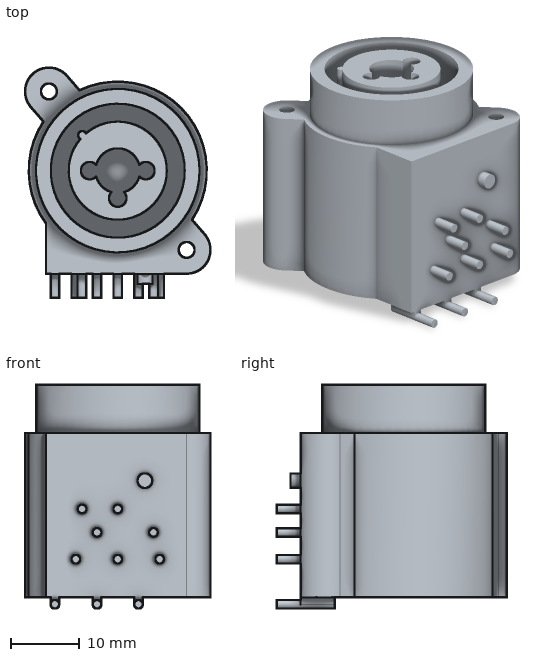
import cadquery as cq
import math

body_height = 23.92
body_radius = 12.95
front_face_y = -15.0
block_left_x = -10.45

ear_radius = 3.5
ear_hole_radius = 1.15
ear_x = 10.0
ear_y = front_face_y + ear_radius

collar_radius = 11.9
collar_height = 7.05
socket_radius = 9.75
socket_depth = 15.08
core_radius = 7.15
key_offset = 5.15
key_radius = 0.6
bore_radius = 3.25
lobe_offset = 4.1
lower_lobe_offset = 4.0
lobe_radius = 1.27
top_z = body_height + collar_height

pin_radius = 0.65
pin_length = 3.5
pin_end_y = front_face_y - pin_length
upper_row_z = 12.85
middle_row_z = 9.45
lower_row_z = 5.55
outer_pin_x = 6.1
inner_pin_x = 3.0
side_pin_x = 5.2
front_pins = [
    (-side_pin_x, upper_row_z),
    (0, upper_row_z),
    (-inner_pin_x, middle_row_z),
    (side_pin_x, middle_row_z),
    (-outer_pin_x, lower_row_z),
    (0, lower_row_z),
    (outer_pin_x, lower_row_z),
]

peg_x = 3.95
peg_z = 17.0
peg_radius = 1.07
peg_length = 1.47

bottom_pin_xs = (-9.15, -inner_pin_x, inner_pin_x)
bottom_pin_z = -1.0
bottom_pin_start_y = -10.0


def post(x, y, radius, height, base_z=0):
    """Vertical cylinder standing on base_z."""
    return cq.Workplane("XY", origin=(x, y, base_z)).circle(radius).extrude(height)


def front_rod(x, z, radius, start_y, end_y):
    """Cylinder running from start_y toward the front, ending at end_y."""
    return cq.Workplane("XZ", origin=(x, start_y, z)).circle(radius).extrude(start_y - end_y)


def make_body():
    block = (
        cq.Workplane("XY")
        .moveTo(block_left_x, 0)
        .lineTo(block_left_x, front_face_y)
        .lineTo(ear_x, front_face_y)
        .lineTo(ear_x, ear_y)
        .lineTo(0, 0)
        .close()
        .extrude(body_height)
    )
    ear_angle = math.degrees(math.atan2(ear_y, ear_x))
    ear_band_length = 2 * (math.hypot(ear_x, ear_y) + ear_radius)
    ears = cq.Workplane("XY").slot2D(ear_band_length, 2 * ear_radius, ear_angle).extrude(body_height)
    body = post(0, 0, body_radius, body_height).union(block).union(ears)
    for side in (-1, 1):
        body = body.cut(post(side * ear_x, side * ear_y, ear_hole_radius, body_height))
    return body


def make_socket_cut():
    """Annular socket around the keyed core, plus the lobed bore in the core."""
    floor_z = top_z - socket_depth
    core = post(0, 0, core_radius, socket_depth, floor_z)
    key = post(-key_offset, key_offset, key_radius, socket_depth, floor_z)
    bore = post(0, 0, bore_radius, socket_depth, floor_z)
    for x, y in ((-lobe_offset, 0), (lobe_offset, 0), (0, -lower_lobe_offset)):
        bore = bore.union(post(x, y, lobe_radius, socket_depth, floor_z))
    return post(0, 0, socket_radius, socket_depth, floor_z).cut(core.union(key)).union(bore)


def make_bottom_pin(x):
    rod = front_rod(x, bottom_pin_z, pin_radius, bottom_pin_start_y, pin_end_y)
    web = cq.Workplane("XY").box(
        2 * pin_radius, bottom_pin_start_y - front_face_y, -bottom_pin_z, centered=(True, False, False)
    )
    return rod.union(web.translate((x, front_face_y, bottom_pin_z)))


collar = post(0, 0, collar_radius, collar_height, body_height)
result = make_body().union(collar).cut(make_socket_cut())

for pin_x, pin_z in front_pins:
    result = result.union(front_rod(pin_x, pin_z, pin_radius, front_face_y, pin_end_y))
result = result.union(front_rod(peg_x, peg_z, peg_radius, front_face_y, front_face_y - peg_length))

for pin_x in bottom_pin_xs:
    result = result.union(make_bottom_pin(pin_x))